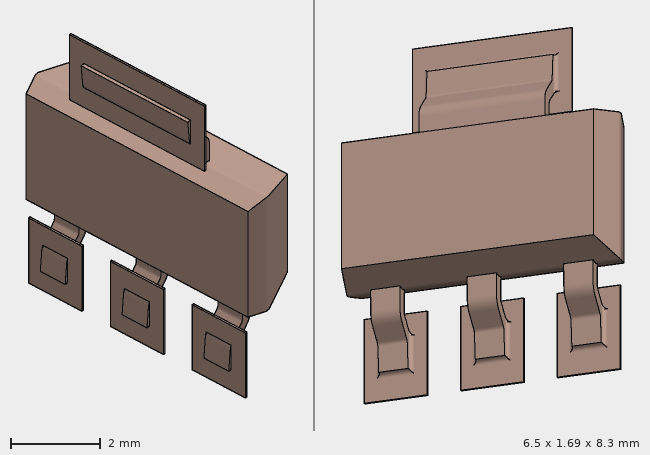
import cadquery as cq
import math


body_width = 6.5
body_height = 3.5
body_depth = 1.6
rim_front = 0.505
rim_back = 0.61
draft_slope = 0.25

lead_thickness = 0.275
lead_centre_y = (rim_front + rim_back) / 2
root_embedment = 0.3
lead_root_z = body_height / 2 - root_embedment
shank_slope = 45.0
toe_tilt = 5.0
toe_tip_y = -0.09
toe_tip_z = 3.49
shoulder_z = 2.42
inner_bend_radius = 0.12
outer_bend_radius = inner_bend_radius + lead_thickness
pin_width = 0.7
pin_pitch = 2.3
tab_width = 3.0

pad_thickness = 0.05
pad_height = 2.0
pad_outer_z = 4.15
pad_inner_z = pad_outer_z - pad_height
pad_overhang = 0.4
wedge_rise = 0.4
solder_radius = 0.1
selection_margin = 0.01


def draft_half(rim_y, face_y):
    """Half of the body, tapering from its rim to its front or back face."""
    inset = 2 * draft_slope * abs(face_y - rim_y)
    return (
        cq.Workplane("XZ", origin=(0, rim_y, 0))
        .rect(body_width, body_height)
        .workplane(offset=rim_y - face_y)
        .rect(body_width - inset, body_height - inset)
        .loft(ruled=True)
    )


def make_body():
    rim = cq.Workplane("XY").box(body_width, rim_back - rim_front, body_height)
    rim = rim.translate((0, lead_centre_y, 0))
    return rim.union(draft_half(rim_front, 0)).union(draft_half(rim_back, body_depth))


def bend_corners(root_y, tip_y, tip_z, shoulder):
    """Shoulder and ankle corners of one face of the lead, before rounding, as (y, z)."""
    shank_run = 1 / math.tan(math.radians(shank_slope))
    toe_run = math.tan(math.radians(toe_tilt))
    shank_rise = (root_y - tip_y - toe_run * (tip_z - shoulder)) / (shank_run - toe_run)
    ankle = (root_y - shank_run * shank_rise, shoulder + shank_rise)
    return (root_y, shoulder), ankle


def make_lead(width):
    """A lead centred on X = 0 that leaves the upper side of the body."""
    tilt = math.radians(toe_tilt)
    front_y = lead_centre_y - lead_thickness / 2
    back_y = lead_centre_y + lead_thickness / 2
    front_tip = (toe_tip_y, toe_tip_z)
    back_tip = (
        toe_tip_y + lead_thickness * math.cos(tilt),
        toe_tip_z + lead_thickness * math.sin(tilt),
    )
    front_shoulder_z = shoulder_z - lead_thickness * math.tan(math.radians(shank_slope / 2))
    back_shoulder, back_ankle = bend_corners(back_y, *back_tip, shoulder_z)
    front_shoulder, front_ankle = bend_corners(front_y, *front_tip, front_shoulder_z)

    outline = [
        (back_y, lead_root_z),
        back_shoulder,
        back_ankle,
        back_tip,
        front_tip,
        front_ankle,
        front_shoulder,
        (front_y, lead_root_z),
    ]
    lead = cq.Workplane("YZ").polyline(outline).close().extrude(width / 2, both=True)
    bends = [
        (back_shoulder, outer_bend_radius),
        (back_ankle, inner_bend_radius),
        (front_ankle, outer_bend_radius),
        (front_shoulder, inner_bend_radius),
    ]
    for (corner_y, corner_z), radius in bends:
        corner = cq.NearestToPointSelector((0, corner_y, corner_z))
        lead = lead.edges("|X").edges(corner).fillet(radius)
    return lead


def make_soldered_lead(width):
    """A lead joined to its pad, with solder fillets along the sides and tip of the toe."""
    pad_width = width + 2 * pad_overhang
    pad = cq.Workplane("XY").box(pad_width, pad_thickness, pad_height)
    pad = pad.translate((0, pad_thickness / 2, pad_outer_z - pad_height / 2))
    joined = make_lead(width).union(pad)
    joint = cq.selectors.BoxSelector(
        (-width / 2 - selection_margin, pad_thickness - selection_margin, shoulder_z),
        (width / 2 + selection_margin, pad_thickness + selection_margin, pad_outer_z - selection_margin),
    )
    soldered = joined.edges(joint).fillet(solder_radius)

    wedge_height = shoulder_z + wedge_rise - pad_inner_z
    wedge_depth = lead_centre_y - pad_thickness
    wedge = (
        cq.Workplane("XY")
        .box(pad_width, wedge_depth, wedge_height, centered=(True, False, False))
        .translate((0, pad_thickness, pad_inner_z))
        .cut(make_lead(pad_width))
    )
    return soldered.cut(wedge)


result = make_body().union(make_soldered_lead(tab_width))
pin = make_soldered_lead(pin_width).mirror("XY")
for pin_index in (-1, 0, 1):
    result = result.union(pin.translate((pin_index * pin_pitch, 0, 0)))